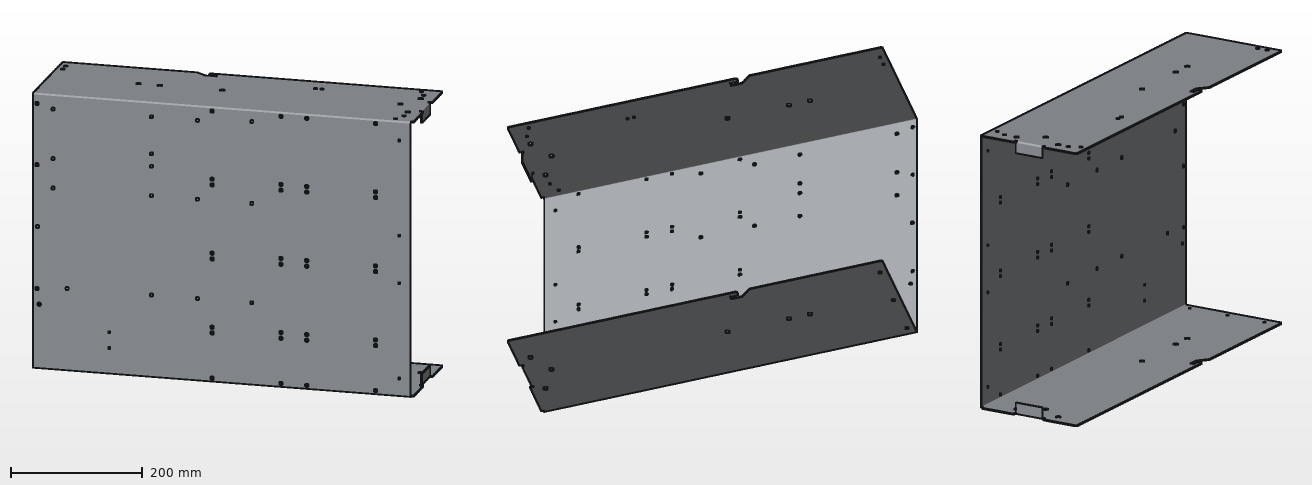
import cadquery as cq

LENGTH = 598.0
DEPTH = 173.0
HEIGHT = 436.0

SHEET = 2.05
BEND_RADIUS = 3.3
INNER_BEND_RADIUS = BEND_RADIUS - SHEET
CORNER_RADIUS = 3.0
PANEL_LENGTH = 594.5
END_RELIEF_DEPTH = 5.0

TAB_CENTER = 86.5
TAB_WIDTH = 46.5
TAB_DROP = 19.0
TAB_FACE = 595.5
TAB_BEND_RADIUS = 3.5
RELIEF_CENTER = 87.0
RELIEF_WIDTH = 52.5
RELIEF_START = TAB_FACE - TAB_BEND_RADIUS

NOTCH_START = 211.5
NOTCH_FLOOR_START = 228.0
NOTCH_MOUTH_END = 232.0
NOTCH_END = 245.0
NOTCH_DEPTH = 13.0
HOOK_THICKNESS = 7.0
HOOK_RADIUS = 3.0

TAPPED_DIAMETER = 3.3
SCREW_DIAMETER = 3.45
SINK_DIAMETER = 5.7
SMALL_SINK_DIAMETER = 5.1
PANEL_DIAMETER = 4.9
FLANGE_DIAMETER = 7.0

BAY_STARTS = (282.0, 431.0)
BAY_WIDTH = 108.0
RAIL_PITCH = 117.0
LOWEST_RAIL = 82.5
RAIL_COUNT = 3
RAIL_SCREW_SPACING = 9.0
EDGE_RAIL_INSET = 6.5

PANEL_HOLES = [
    (7.0, 225.0),
    (31.5, 287.5), (31.5, 334.0), (31.5, 412.5),
    (54.0, 130.5),
    (186.5, 130.5), (186.5, 287.5), (186.5, 334.0), (186.5, 354.0), (186.5, 412.5),
    (259.0, 130.5), (259.0, 287.5), (259.0, 412.5),
    (344.5, 130.5), (344.5, 287.5), (344.5, 417.5),
]
PANEL_TAPPED_HOLES = [(120.0, 41.0), (120.0, 66.5), (576.5, 28.5), (576.5, 179.5), (576.5, 255.0), (576.5, 405.5)]
PANEL_SCREW_HOLES = [(10.0, 102.0), (6.5, 127.0), (6.5, 323.0), (6.5, 420.0)]

THROUGH_HOLES = [(142.0, 91.0), (175.0, 91.0), (273.0, 91.0), (553.5, 91.0), (576.0, 52.5), (576.0, 127.0)]
TOP_SCREW_HOLES = [
    (10.0, 136.0), (10.0, 152.5),
    (408.0, 136.5), (418.0, 136.5),
    (576.0, 31.0), (576.0, 144.5),
]
TOP_SMALL_SINK_HOLES = [(567.5, 13.0), (567.5, 162.0)]
BOTTOM_SCREW_HOLES = [(11.5, 15.5), (11.5, 82.5), (11.5, 148.0)]


def block(x_range, y_range, z_range):
    """Box between the given limits along each axis."""
    size = [high - low for low, high in (x_range, y_range, z_range)]
    return cq.Workplane("XY").box(*size, centered=False).translate((x_range[0], y_range[0], z_range[0]))


def mirrored_to_bottom(shape):
    """Copy of a top-flange feature, placed on the bottom flange."""
    return shape.mirror("XY", (0, 0, HEIGHT / 2))


def channel():
    outside = block((0, LENGTH), (0, DEPTH), (0, HEIGHT))
    outside = outside.edges("|X and <Y").fillet(BEND_RADIUS)
    inside = block((0, LENGTH), (SHEET, DEPTH), (SHEET, HEIGHT - SHEET))
    inside = inside.edges("|X and <Y").fillet(INNER_BEND_RADIUS)
    sheet = outside.cut(inside).edges("|Z and >Y").fillet(CORNER_RADIUS)
    return sheet.cut(block((PANEL_LENGTH, LENGTH), (0, END_RELIEF_DEPTH), (0, HEIGHT)))


def end_tab():
    """Tab hanging from the top flange, with the fold that joins it to the flange edge."""
    width = (TAB_CENTER - TAB_WIDTH / 2, TAB_CENTER + TAB_WIDTH / 2)
    root = RELIEF_START - SHEET
    bottom = HEIGHT - TAB_DROP
    outside = block((root, TAB_FACE), width, (bottom, HEIGHT))
    outside = outside.edges("|Y and >X and >Z").fillet(TAB_BEND_RADIUS)
    inside = block((root, TAB_FACE - SHEET), width, (bottom, HEIGHT - SHEET))
    inside = inside.edges("|Y and >X and >Z").fillet(TAB_BEND_RADIUS - SHEET)
    return outside.cut(inside)


def tab_relief():
    width = (RELIEF_CENTER - RELIEF_WIDTH / 2, RELIEF_CENTER + RELIEF_WIDTH / 2)
    return block((RELIEF_START, LENGTH), width, (0, HEIGHT))


def hook_notch():
    floor = DEPTH - NOTCH_DEPTH
    hook_underside = DEPTH - HOOK_THICKNESS
    return (
        cq.Workplane("XY")
        .moveTo(NOTCH_START, DEPTH)
        .lineTo(NOTCH_FLOOR_START, floor)
        .lineTo(NOTCH_END, floor)
        .lineTo(NOTCH_END, hook_underside)
        .lineTo(NOTCH_MOUTH_END, hook_underside)
        .lineTo(NOTCH_MOUTH_END, DEPTH - HOOK_RADIUS)
        .radiusArc((NOTCH_MOUTH_END + HOOK_RADIUS, DEPTH), HOOK_RADIUS)
        .close()
        .extrude(HEIGHT)
    )


def rail_holes():
    """(x, z) of the rail screws: a pair on every rail line and a single hole at each edge."""
    rows = [EDGE_RAIL_INSET, HEIGHT - EDGE_RAIL_INSET]
    for rail in range(RAIL_COUNT):
        middle = LOWEST_RAIL + rail * RAIL_PITCH
        rows += [middle - RAIL_SCREW_SPACING / 2, middle + RAIL_SCREW_SPACING / 2]
    columns = [start + offset for start in BAY_STARTS for offset in (0, BAY_WIDTH)]
    return [(x, z) for x in columns for z in rows]


PANEL_FACE = cq.Plane(origin=(0, 0, 0), xDir=(-1, 0, 0), normal=(0, 1, 0))
TOP_FACE = cq.Plane(origin=(0, 0, HEIGHT), xDir=(1, 0, 0), normal=(0, 0, -1))
BOTTOM_FACE = cq.Plane(origin=(0, 0, 0), xDir=(1, 0, 0), normal=(0, 0, 1))


def on_panel(points):
    return [PANEL_FACE.toLocalCoords(cq.Vector(x, 0, z)) for x, z in points]


def on_flange(face, points):
    return [face.toLocalCoords(cq.Vector(x, y, face.origin.z)) for x, y in points]


def drills(face, points, diameter, depth):
    return cq.Workplane(face).pushPoints(points).circle(diameter / 2).extrude(depth)


def countersinks(face, points, sink_diameter=SINK_DIAMETER):
    """Screw holes through the sheet, widened by a cone at the outer face."""
    sink_depth = (sink_diameter - SCREW_DIAMETER) / 2
    cone = cq.Solid.makeCone(sink_diameter / 2, SCREW_DIAMETER / 2, sink_depth)
    shank = cq.Solid.makeCylinder(SCREW_DIAMETER / 2, SHEET)
    cutter = cone.fuse(shank)
    return cq.Workplane(face).pushPoints(points).eachpoint(cutter, useLocalCoordinates=True, combine=False)


result = (
    channel()
    .cut(tab_relief())
    .union(end_tab())
    .union(mirrored_to_bottom(end_tab()))
    .cut(hook_notch())
    .cut(drills(PANEL_FACE, on_panel(PANEL_HOLES), PANEL_DIAMETER, SHEET))
    .cut(drills(PANEL_FACE, on_panel(PANEL_TAPPED_HOLES), TAPPED_DIAMETER, SHEET))
    .cut(countersinks(PANEL_FACE, on_panel(PANEL_SCREW_HOLES + rail_holes())))
    .cut(drills(BOTTOM_FACE, THROUGH_HOLES, FLANGE_DIAMETER, HEIGHT))
    .cut(countersinks(TOP_FACE, on_flange(TOP_FACE, TOP_SCREW_HOLES)))
    .cut(countersinks(TOP_FACE, on_flange(TOP_FACE, TOP_SMALL_SINK_HOLES), SMALL_SINK_DIAMETER))
    .cut(countersinks(BOTTOM_FACE, BOTTOM_SCREW_HOLES))
)